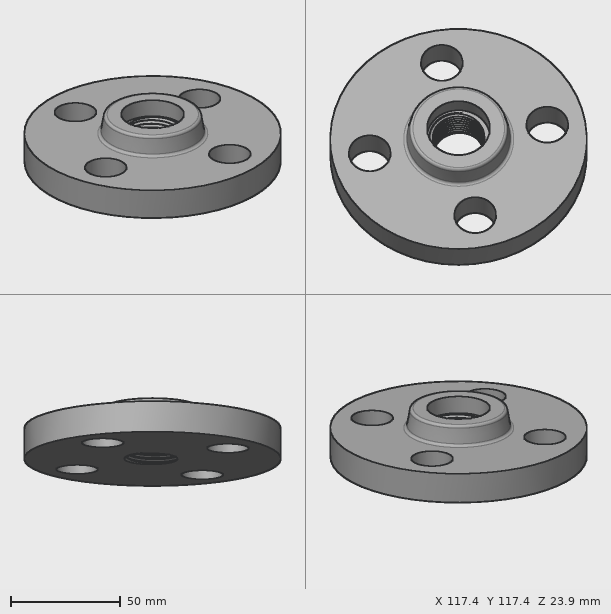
import cadquery as cq
import math

FLANGE_DIAMETER = 117.35
FLANGE_THICKNESS = 14.22
TOTAL_HEIGHT = 23.88

BOLT_COUNT = 4
BOLT_HOLE_DIAMETER = 19.05
BOLT_CIRCLE_DIAMETER = 82.55

HUB_BASE_DIAMETER = 47.75
HUB_DRAFT_ANGLE = 10.0
HUB_FILLET = 1.5

COUNTERBORE_DIAMETER = 28.7
COUNTERBORE_DEPTH = 8.13

THREAD_PITCH = 25.4 / 14
THREAD_DEPTH = 0.8 * THREAD_PITCH
THREAD_MAJOR_DIAMETER = 26.67
THREAD_HALF_ANGLE = 30.0
THREAD_TAPER_SLOPE = 1 / 32
THREAD_START_ANGLE = 90.0

RUNOUT_TURNS = 1
GROOVE_OVERLAP = 0.05

HUB_HEIGHT = TOTAL_HEIGHT - FLANGE_THICKNESS
LEDGE_HEIGHT = TOTAL_HEIGHT - COUNTERBORE_DEPTH


def crest_radius(height):
    """Radius of the tapered thread crest at a height above the bottom face."""
    return THREAD_MAJOR_DIAMETER / 2 - THREAD_DEPTH - (LEDGE_HEIGHT - height) * THREAD_TAPER_SLOPE


def make_flange_body():
    """Round plate and conical hub, rounded at the hub's top edge and foot."""
    plate = cq.Workplane("XY").circle(FLANGE_DIAMETER / 2).extrude(FLANGE_THICKNESS)
    hub = (
        cq.Workplane("XY", origin=(0, 0, FLANGE_THICKNESS))
        .circle(HUB_BASE_DIAMETER / 2)
        .extrude(HUB_HEIGHT, taper=HUB_DRAFT_ANGLE)
    )
    body = plate.union(hub)
    body = body.faces(">Z").edges().fillet(HUB_FILLET)
    plate_top = body.faces("|Z").faces(">Z[-2]")
    hub_foot = plate_top.edges(cq.selectors.RadiusNthSelector(0))
    return hub_foot.fillet(HUB_FILLET)


def make_bolt_holes():
    """Ring of through-hole cutters, the first one on the +X axis."""
    return (
        cq.Workplane("XY")
        .polarArray(BOLT_CIRCLE_DIAMETER / 2, 0, 360, BOLT_COUNT)
        .circle(BOLT_HOLE_DIAMETER / 2)
        .extrude(FLANGE_THICKNESS)
    )


def make_bore():
    """Tapered bore at the thread crests, opening into the straight counterbore."""
    outline = [
        (0, 0),
        (crest_radius(0), 0),
        (crest_radius(LEDGE_HEIGHT), LEDGE_HEIGHT),
        (COUNTERBORE_DIAMETER / 2, LEDGE_HEIGHT),
        (COUNTERBORE_DIAMETER / 2, TOTAL_HEIGHT),
        (0, TOTAL_HEIGHT),
    ]
    return cq.Workplane("XZ").polyline(outline).close().revolve(360, (0, 0, 0), (0, 1, 0))


def make_thread_groove():
    """Right-hand V groove on the tapered bore, its root crossing the ledge at +Y."""
    turns_to_ledge = math.ceil(LEDGE_HEIGHT / THREAD_PITCH) + RUNOUT_TURNS
    start = LEDGE_HEIGHT - turns_to_ledge * THREAD_PITCH
    length = (turns_to_ledge + RUNOUT_TURNS) * THREAD_PITCH
    start_radius = crest_radius(start)
    taper_angle = math.degrees(math.atan(THREAD_TAPER_SLOPE))
    helix = cq.Wire.makeHelix(
        THREAD_PITCH, length, start_radius, cq.Vector(0, 0, start), angle=taper_angle
    )
    mouth = start_radius - GROOVE_OVERLAP
    root = start_radius + THREAD_DEPTH
    half_width = (root - mouth) * math.tan(math.radians(THREAD_HALF_ANGLE))
    outline = [(mouth, start - half_width), (root, start), (mouth, start + half_width)]
    groove = cq.Workplane("XZ").polyline(outline).close().sweep(helix, isFrenet=True)
    return groove.rotate((0, 0, 0), (0, 0, 1), THREAD_START_ANGLE)


body = make_flange_body()
body = body.cut(make_bolt_holes())
body = body.cut(make_bore())
result = body.cut(make_thread_groove())